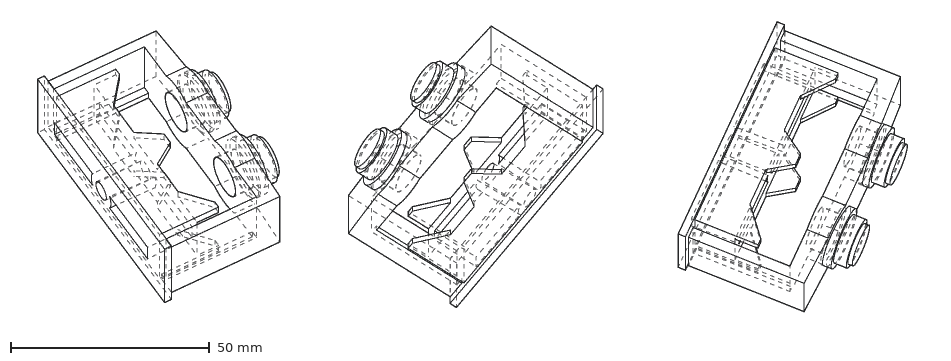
import cadquery as cq


plate_width = 63.0
plate_height = 22.0
plate_thickness = 2.0

block_height = 18.0
block_top_y = 19.35
block_valley_y = 13.05
web_thickness = 2.25
tooth_tip_half_width = 1.6
tooth_root_half_width = 5.85
valley_outer_x = 16.0
shoulder_inner_x = 23.7

hole_radius = 2.6
hub_radius = 4.85
slot_half_length = 23.05
slot_height = 4.7
slot_draft = 0.2

frame_width = 61.35
frame_height = 18.7
frame_front_gap = 0.5
side_wall = 2.9
back_inner_y = 29.05
back_edge_y = 34.2
back_flat_y = 35.4
lip_width = 2.1
lip_thickness = 2.0
lip_clearance = 0.2
boss_radius = 10.6

button_spacing = 24.0
flange_radius = 8.2
flange_top_y = 37.1
collar_radius = 6.6
collar_top_y = 40.6
cap_radius = 5.55
cap_rim_y = 41.8
cap_crown_y = 42.35
stem_radius = 5.35
stem_clearance = 0.1

button_x = button_spacing / 2
button_centers = [-button_x, button_x]
frame_front_y = plate_thickness + frame_front_gap
frame_half_width = frame_width / 2
cavity_half_width = frame_half_width - side_wall
lip_inner_x = cavity_half_width - lip_width
block_half_width = lip_inner_x - lip_clearance
boss_half_chord = (boss_radius**2 - (frame_height / 2) ** 2) ** 0.5
back_flat_half_width = button_x - boss_half_chord


def cylinder_along_y(radius, start_y, end_y, center_x=0):
    """Round bar parallel to Y, centred on Z = 0."""
    base = cq.Workplane("XZ", origin=(center_x, start_y, 0))
    return base.circle(radius).extrude(start_y - end_y)


def centered_prism(points, height):
    """Prism of an XY outline, split evenly above and below Z = 0."""
    return cq.Workplane("XY").polyline(points).close().extrude(height / 2, both=True)


def mirrored_outline(right_points):
    """Close a right-hand chain of points with its mirror image about X = 0."""
    left_points = [(-x, y) for x, y in reversed(right_points)]
    return right_points + left_points


def make_slots():
    """Long flat opening, interrupted by a round hub; its sides lean inward toward the back."""
    opening = (
        cq.Workplane("XZ")
        .rect(2 * slot_half_length, slot_height)
        .workplane(offset=-block_valley_y)
        .rect(2 * (slot_half_length - slot_draft), slot_height - 2 * slot_draft)
        .loft()
    )
    hub = cq.Solid.makeCone(
        hub_radius, hub_radius + slot_draft, block_valley_y, cq.Vector(0, 0, 0), cq.Vector(0, 1, 0)
    )
    return opening.cut(cq.Workplane(hub))


def make_insert():
    """Front plate with the block and its two toothed webs behind it."""
    plate = cq.Workplane("XY").box(
        plate_width, plate_thickness, plate_height, centered=(True, False, True)
    )
    block_outline = mirrored_outline([
        (block_half_width, plate_thickness),
        (block_half_width, block_top_y),
        (shoulder_inner_x, block_top_y),
        (valley_outer_x, block_valley_y),
        (tooth_root_half_width, block_valley_y),
        (tooth_tip_half_width, block_top_y),
    ])
    web_gap = cq.Workplane("XY").box(
        2 * block_half_width,
        block_top_y - block_valley_y,
        block_height - 2 * web_thickness,
        centered=(True, False, True),
    )
    block = centered_prism(block_outline, block_height).cut(web_gap.translate((0, block_valley_y, 0)))
    center_hole = cylinder_along_y(hole_radius, 0, block_valley_y)
    return plate.union(block).cut(make_slots()).cut(center_hole)


def make_back_wall(height):
    """Back wall whose rear face slopes forward on each side of a flat middle."""
    outline = mirrored_outline([
        (frame_half_width, back_inner_y),
        (frame_half_width, back_edge_y),
        (back_flat_half_width, back_flat_y),
    ])
    return centered_prism(outline, height)


def make_side(side):
    """Side wall with a guide lip along its lower inner edge; side is -1 or 1."""
    depth = back_inner_y - frame_front_y
    wall_x = side * (frame_half_width + cavity_half_width) / 2
    lip_x = side * (cavity_half_width + lip_inner_x) / 2
    wall = cq.Workplane("XY").box(side_wall, depth, frame_height, centered=(True, False, True))
    lip = cq.Workplane("XY").box(lip_width, depth, lip_thickness, centered=(True, False, False))
    wall = wall.translate((wall_x, frame_front_y, 0))
    return wall.union(lip.translate((lip_x, frame_front_y, -frame_height / 2)))


def make_housing():
    """U-shaped frame with a round boss and a stepped bore for each button."""
    housing = make_back_wall(frame_height)
    for side in (-1, 1):
        housing = housing.union(make_side(side))
    for x in button_centers:
        boss = cylinder_along_y(boss_radius, back_inner_y, back_flat_y, x)
        housing = housing.union(boss.intersect(make_back_wall(2 * boss_radius)))
    for x in button_centers:
        stem_bore = cylinder_along_y(stem_radius + stem_clearance, back_inner_y, back_flat_y, x)
        flange_seat = cylinder_along_y(flange_radius, back_edge_y, back_flat_y, x)
        housing = housing.cut(stem_bore).cut(flange_seat)
    return housing


def make_button(center_x):
    """Turned button: stem, flange, collar and a cap with a domed end."""
    cap_crown_height = cap_crown_y - cap_rim_y
    dome_radius = (cap_radius**2 + cap_crown_height**2) / (2 * cap_crown_height)
    half_cap = cap_radius / 2
    dome_mid_y = cap_crown_y - dome_radius + (dome_radius**2 - half_cap**2) ** 0.5
    half_profile = (
        cq.Workplane("XY")
        .moveTo(0, back_inner_y)
        .lineTo(stem_radius, back_inner_y)
        .lineTo(stem_radius, back_edge_y)
        .lineTo(flange_radius, back_edge_y)
        .lineTo(flange_radius, flange_top_y)
        .lineTo(collar_radius, flange_top_y)
        .lineTo(collar_radius, collar_top_y)
        .lineTo(cap_radius, collar_top_y)
        .lineTo(cap_radius, cap_rim_y)
        .threePointArc((half_cap, dome_mid_y), (0, cap_crown_y))
        .close()
    )
    return half_profile.revolve(360, (0, 0, 0), (0, 1, 0)).translate((center_x, 0, 0))


insert = make_insert()
housing = make_housing()
buttons = [make_button(x) for x in button_centers]

result = cq.Compound.makeCompound(
    [insert.val(), housing.val(), *[button.val() for button in buttons]]
)